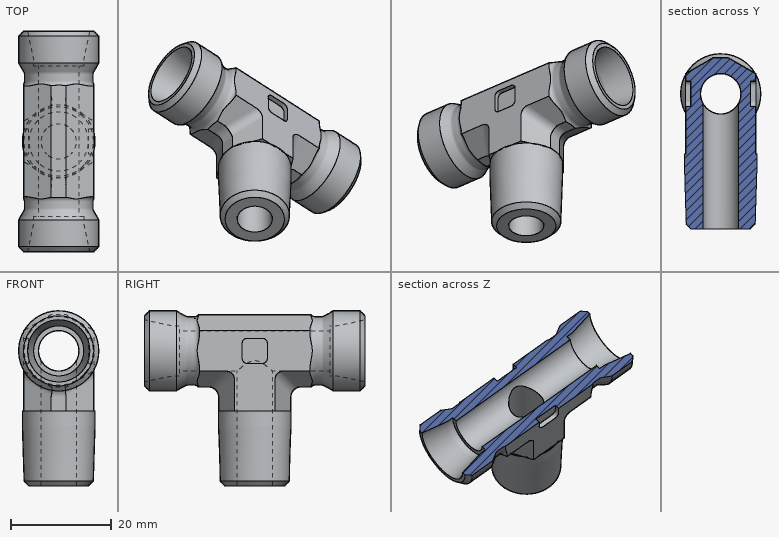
import cadquery as cq
import math


RUN_HALF_LENGTH = 22.0
BRANCH_LENGTH = 26.95

FLAT_HALF_WIDTH = 7.0
CUT_CORNER_HALF_WIDTH = 7.2
CROTCH_RADIUS = 2.0

END_RADIUS = 8.0
EDGE_CHAMFER = 1.0
END_COLLAR_LENGTH = 6.4
NECK_RADIUS = 13.7 / 2
NECK_FILLET = 1.0
NECK_END_DEPTH = 10.0
NECK_END_Y = RUN_HALF_LENGTH - NECK_END_DEPTH
COLLAR_BACK_ANGLE = math.radians(30)

STUB_RADIUS = 14.5 / 2
STUB_TOP = 11.95
TAPER_START = 15.0
TAPER_ON_RADIUS = 1 / 32

RUN_BORE_RADIUS = 8.0 / 2
BRANCH_BORE_RADIUS = 7.0 / 2
TUBE_SOCKET_RADIUS = 10.0 / 2
TUBE_SOCKET_DEPTH = 7.0
MOUTH_RADIUS = 6.2
MOUTH_CONE_ANGLE = math.radians(12)

BADGE_SIZE = 5.0
BADGE_CORNER = 1.0
BADGE_DEPTH = 1.0


def hexagon_outline(plane):
    """Hexagon ready to extrude, with two of its flats facing along X."""
    corner = FLAT_HALF_WIDTH / math.cos(math.radians(30))
    return cq.Workplane(plane).transformed(rotate=(0, 0, 90)).polygon(6, 2 * corner)


def revolve_about_y(profile):
    """Close an open profile drawn in XY and turn it about the run axis."""
    return profile.close().revolve(360, (0, 0, 0), (0, 1, 0))


def arc_middle(center, start_angle, end_angle, radius):
    """Point half way along an arc, with angles in radians."""
    middle = (start_angle + end_angle) / 2
    return (center[0] + radius * math.cos(middle), center[1] + radius * math.sin(middle))


def make_body():
    """Run and branch bars joined, with rounded crotches and turned-down run ends."""
    run = hexagon_outline("XZ").extrude(NECK_END_Y, both=True)
    branch = hexagon_outline("XY").extrude(-STUB_TOP)
    body = run.union(branch)

    zone_reach = CUT_CORNER_HALF_WIDTH + CROTCH_RADIUS / 4
    crotch_edges = cq.selectors.BoxSelector(
        (-FLAT_HALF_WIDTH, -zone_reach, -zone_reach),
        (FLAT_HALF_WIDTH, zone_reach, -FLAT_HALF_WIDTH / 2),
    )
    body = body.edges(crotch_edges).fillet(CROTCH_RADIUS)

    run_outline = (
        cq.Workplane("YZ")
        .rect(2 * NECK_END_Y, 2 * CUT_CORNER_HALF_WIDTH)
        .extrude(FLAT_HALF_WIDTH, both=True)
    )
    branch_outline = (
        cq.Workplane("XY")
        .rect(2 * FLAT_HALF_WIDTH, 2 * CUT_CORNER_HALF_WIDTH)
        .extrude(-STUB_TOP)
    )
    outline = run_outline.union(branch_outline).edges(crotch_edges).fillet(CROTCH_RADIUS)
    body = body.intersect(outline)

    wall_y = NECK_END_Y - NECK_FILLET
    round_top = NECK_RADIUS + NECK_FILLET
    round_middle = arc_middle((round_top, NECK_END_Y), math.pi, 1.5 * math.pi, NECK_FILLET)
    clear_radius = BRANCH_LENGTH
    half_profile = (
        cq.Workplane("XY")
        .lineTo(clear_radius, 0)
        .lineTo(clear_radius, wall_y)
        .lineTo(round_top, wall_y)
        .threePointArc(round_middle, (NECK_RADIUS, NECK_END_Y))
        .lineTo(0, NECK_END_Y)
    )
    half_limit = revolve_about_y(half_profile)
    return body.intersect(half_limit.union(half_limit.mirror("XZ")))


def make_tube_end():
    """Collar and neck at the +Y end of the run."""
    collar_back = RUN_HALF_LENGTH - END_COLLAR_LENGTH
    cone_length = (END_RADIUS - NECK_RADIUS) / math.tan(COLLAR_BACK_ANGLE)
    cone_foot = collar_back - cone_length

    tangent_length = NECK_FILLET * math.tan(COLLAR_BACK_ANGLE / 2)
    round_start = (
        NECK_RADIUS + tangent_length * math.sin(COLLAR_BACK_ANGLE),
        cone_foot + tangent_length * math.cos(COLLAR_BACK_ANGLE),
    )
    round_end = (NECK_RADIUS, cone_foot - tangent_length)
    round_center = (NECK_RADIUS + NECK_FILLET, round_end[1])
    round_middle = arc_middle(round_center, math.pi - COLLAR_BACK_ANGLE, math.pi, NECK_FILLET)

    profile = (
        cq.Workplane("XY")
        .moveTo(0, RUN_HALF_LENGTH)
        .lineTo(END_RADIUS - EDGE_CHAMFER, RUN_HALF_LENGTH)
        .lineTo(END_RADIUS, RUN_HALF_LENGTH - EDGE_CHAMFER)
        .lineTo(END_RADIUS, collar_back)
        .lineTo(*round_start)
        .threePointArc(round_middle, round_end)
        .lineTo(NECK_RADIUS, NECK_END_Y)
        .lineTo(0, NECK_END_Y)
    )
    return revolve_about_y(profile)


def make_stub():
    """Straight collar and tapered thread blank at the foot of the branch."""
    chamfer_top = BRANCH_LENGTH - EDGE_CHAMFER
    tip_radius = STUB_RADIUS - (chamfer_top - TAPER_START) * TAPER_ON_RADIUS
    return (
        cq.Workplane("XZ")
        .moveTo(0, -STUB_TOP)
        .lineTo(STUB_RADIUS, -STUB_TOP)
        .lineTo(STUB_RADIUS, -TAPER_START)
        .lineTo(tip_radius, -chamfer_top)
        .lineTo(tip_radius - EDGE_CHAMFER, -BRANCH_LENGTH)
        .lineTo(0, -BRANCH_LENGTH)
        .close()
        .revolve(360, (0, 0, 0), (0, 1, 0))
    )


def make_tube_socket():
    """Conical mouth and stepped seat cut into the +Y end of the run."""
    cone_depth = (MOUTH_RADIUS - TUBE_SOCKET_RADIUS) / math.tan(MOUTH_CONE_ANGLE)
    profile = (
        cq.Workplane("XY")
        .moveTo(0, RUN_HALF_LENGTH)
        .lineTo(MOUTH_RADIUS, RUN_HALF_LENGTH)
        .lineTo(TUBE_SOCKET_RADIUS, RUN_HALF_LENGTH - cone_depth)
        .lineTo(TUBE_SOCKET_RADIUS, RUN_HALF_LENGTH - TUBE_SOCKET_DEPTH)
        .lineTo(0, RUN_HALF_LENGTH - TUBE_SOCKET_DEPTH)
    )
    return revolve_about_y(profile)


def make_badge_recesses():
    """Rounded square recesses in the two side flats."""
    block = (
        cq.Workplane("YZ")
        .rect(BADGE_SIZE, BADGE_SIZE)
        .extrude(FLAT_HALF_WIDTH, both=True)
        .edges("|X")
        .fillet(BADGE_CORNER)
    )
    floor_x = FLAT_HALF_WIDTH - BADGE_DEPTH
    core = cq.Workplane("YZ").rect(BADGE_SIZE, BADGE_SIZE).extrude(floor_x, both=True)
    return block.cut(core)


tube_end = make_tube_end()
tube_socket = make_tube_socket()
run_bore = cq.Workplane("XZ").circle(RUN_BORE_RADIUS).extrude(RUN_HALF_LENGTH, both=True)
branch_bore = cq.Workplane("XY").circle(BRANCH_BORE_RADIUS).extrude(-BRANCH_LENGTH)

result = (
    make_body()
    .union(tube_end)
    .union(tube_end.mirror("XZ"))
    .union(make_stub())
    .cut(run_bore)
    .cut(branch_bore)
    .cut(tube_socket)
    .cut(tube_socket.mirror("XZ"))
    .cut(make_badge_recesses())
)